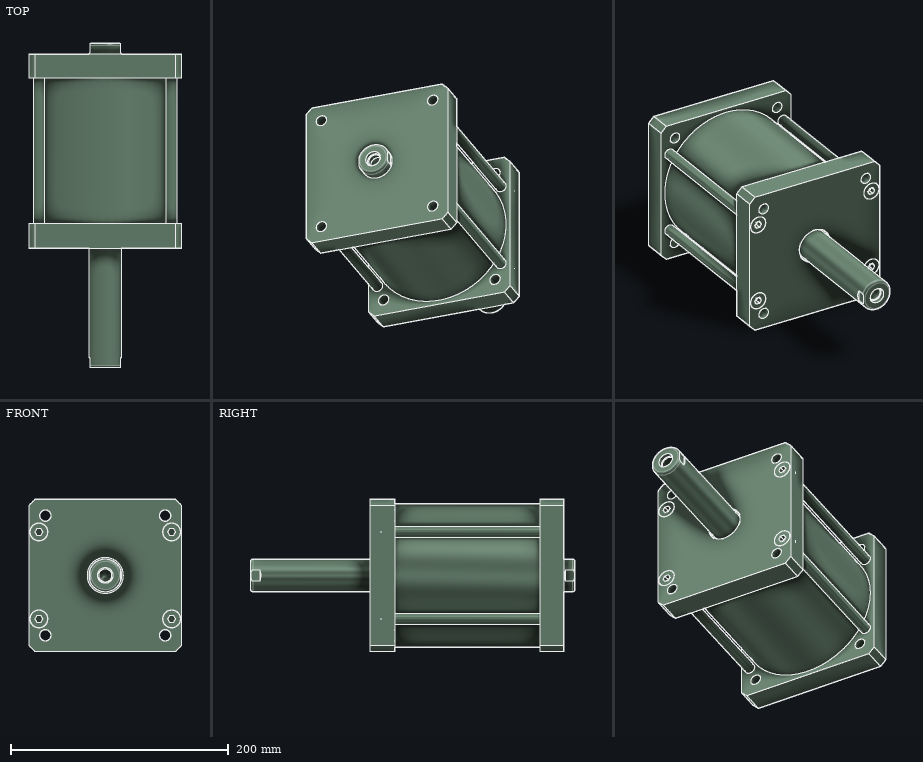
import cadquery as cq
import math

total_length = 298
front_reach = 109.7
front_plate_depth = 23.0
rear_plate_depth = 22.0
rear_reach = 10.0
front_end = -total_length / 2
rear_end = total_length / 2
front_face = front_end + front_reach
rear_face = rear_end - rear_reach
barrel_start = front_face + front_plate_depth
barrel_end = rear_face - rear_plate_depth

plate_side = 140
plate_chamfer = 5.7
barrel_diameter = 132.0
mount_diameter = 10.0
mount_spacing = 110.0

rod_diameter = 10.0
rod_spacing_x = 122.0
rod_spacing_z = 80.0
head_bore_diameter = 16.5
head_diameter = 16.0
head_height = 10.0
socket_sides = 6
socket_across_corners = 7.2
socket_depth = 6

shaft_diameter = 30.0
shaft_end_radius = 2.0
seal_bore_diameter = 33.0
seal_bore_depth = 3
flat_spacing = 28.3
flat_length = 8.5
hole_diameter = 12
hole_mouth_diameter = 14.3
hole_depth = 23.8
hole_mouth_depth = 4.5
drill_point_angle = 118


def plane_at(y):
    """Workplane at the given Y with local axes X and Z; it extrudes toward -Y."""
    return cq.Workplane("XZ", origin=(0, y, 0))


def at_screws(y):
    """The four tie-rod axes at the given Y."""
    return plane_at(y).rect(rod_spacing_x, rod_spacing_z, forConstruction=True).vertices()


def make_plate(start, end):
    """Square end plate with cut corners and a mounting hole near each of them."""
    plate = plane_at(end).rect(plate_side, plate_side).extrude(end - start)
    plate = plate.edges("|Y").chamfer(plate_chamfer)
    corners = plane_at(end).rect(mount_spacing, mount_spacing, forConstruction=True).vertices()
    return plate.cut(corners.circle(mount_diameter / 2).extrude(end - start))


def make_front_plate():
    """Front plate with the shaft seal bore and flush screw heads inside slightly wider bores."""
    plate = make_plate(front_face, barrel_start)
    seal_bore = plane_at(front_face + seal_bore_depth).circle(seal_bore_diameter / 2)
    plate = plate.cut(seal_bore.extrude(seal_bore_depth))
    head_seat = front_face + head_height
    bores = at_screws(head_seat).circle(head_bore_diameter / 2).extrude(head_height)
    heads = at_screws(head_seat).circle(head_diameter / 2).extrude(head_height)
    sockets = at_screws(front_face + socket_depth).polygon(socket_sides, socket_across_corners)
    return plate.cut(bores).union(heads).cut(sockets.extrude(socket_depth))


def make_shaft_profile():
    """Half section of the +Y half of the shaft, with X as the radius."""
    radius = shaft_diameter / 2
    hole_radius = hole_diameter / 2
    mouth_radius = hole_mouth_diameter / 2
    drill_point = hole_radius / math.tan(math.radians(drill_point_angle / 2))
    half = total_length / 2
    return (
        cq.Workplane("XY")
        .moveTo(0, 0)
        .lineTo(radius, 0)
        .lineTo(radius, half - shaft_end_radius)
        .radiusArc((radius - shaft_end_radius, half), -shaft_end_radius)
        .lineTo(mouth_radius, half)
        .lineTo(mouth_radius, half - hole_mouth_depth)
        .lineTo(hole_radius, half - hole_mouth_depth)
        .lineTo(hole_radius, half - hole_depth)
        .lineTo(0, half - hole_depth - drill_point)
        .close()
    )


def make_wrench_flat():
    """Cutter for the flat on the +X side of the +Y end, with a 45 degree run-out."""
    inner_x = flat_spacing / 2
    outer_x = shaft_diameter / 2
    half = total_length / 2
    outline = [
        (inner_x, half),
        (inner_x, half - flat_length),
        (outer_x, half - flat_length - (outer_x - inner_x)),
        (outer_x, half),
    ]
    return cq.Workplane("XY").polyline(outline).close().extrude(shaft_diameter / 2, both=True)


def make_shaft():
    """Whole shaft, mirrored about its middle."""
    half_shaft = make_shaft_profile().revolve(360, (0, 0, 0), (0, 1, 0))
    wrench_flat = make_wrench_flat()
    half_shaft = half_shaft.cut(wrench_flat).cut(wrench_flat.mirror("YZ"))
    return half_shaft.union(half_shaft.mirror("XZ"))


barrel_length = barrel_end - barrel_start
barrel = plane_at(barrel_end).circle(barrel_diameter / 2).extrude(barrel_length)
tie_rods = at_screws(barrel_end).circle(rod_diameter / 2).extrude(barrel_length)
rear_plate = make_plate(barrel_end, rear_face)

result = make_front_plate().union(rear_plate).union(barrel).union(tie_rods).union(make_shaft())